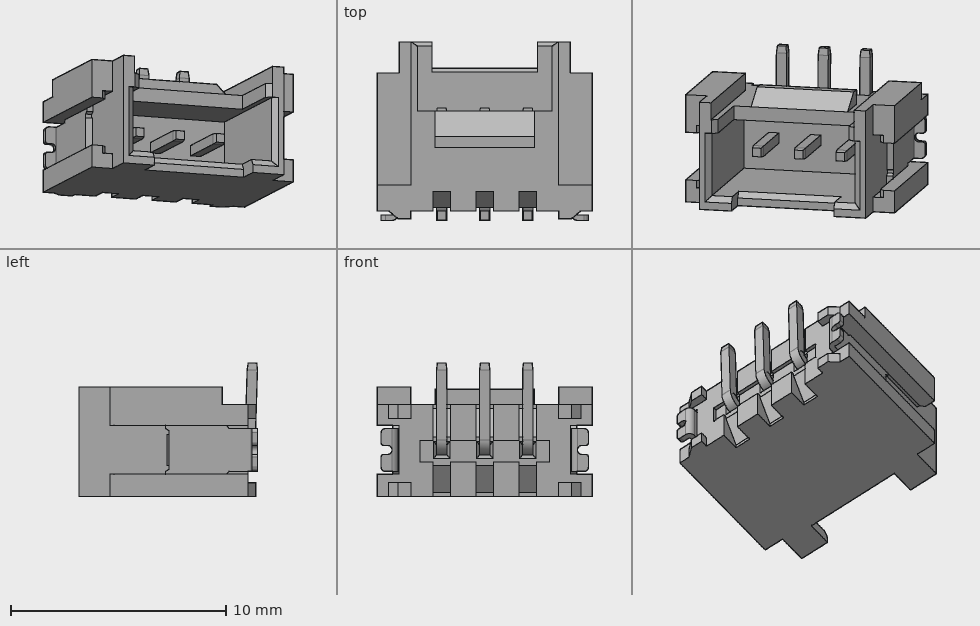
import cadquery as cq
import math


overall_width = 10.0
body_width = 7.96
body_height = 4.29
body_length = 7.86
flange_length = 6.42
upper_flange_bottom = 3.31
lower_flange_top = 1.05

rail_top = 5.10
rail_front = 1.20
rail_gap = 6.86

wall = 0.65
cavity_width = 6.86
cavity_front = 1.5
window_width = 6.27
window_front = 4.65
mouth_flare_depth = 0.19
mouth_flare = 0.28
notch_width = 4.90
notch_front = 6.64

ridge_width = 4.62
ridge_front = 2.96
ridge_crest_back = 3.46
ridge_top = 4.99

tab_inner = rail_gap / 2
tab_outer = 4.46
tab_tip_outer = 4.03
tab_reach = 0.36
tab_height = 0.65

pin_count = 3
pin_pitch = 2.0
pin_size = 0.49
pin_axis_z = 2.17
pin_tip_y = 4.79
pin_top = 6.22
pin_lean = 1.75
pin_front = -0.34
pin_bend_radius = 0.45
tip_length = 0.33
tip_size = 0.41
slot_width = 0.80
slot_depth = 0.92
slot_land = 0.20
relief_depth = 0.16
relief_width = 6.0
relief_bottom = 1.60
relief_top = 2.62
relief_margin = 0.15
funnel_size = 0.78
funnel_depth = 0.28

fitting_thickness = 0.26
fitting_gap = 0.04
fitting_wall = body_width / 2
fitting_face = fitting_wall + fitting_gap + fitting_thickness
fitting_bend_inner = 0.04
fitting_front = -0.44
fitting_bottom = 1.17
fitting_top = 3.17
fitting_back = 3.68
fitting_ear_back = 3.84
fitting_ear_slope = 0.10
fitting_shoulder_y = 0.99
fitting_shoulder_slope = 0.10
fitting_bevel = 0.09
fitting_bevel_bottom = 1.44
fitting_bevel_top = 2.89
foot_reach = 4.82
foot_outer_radius = 0.2
foot_inner_radius = 0.12
foot_notch_width = 0.41
foot_notch_end = 4.31
fitting_slot_flare = 0.19
fitting_slot_depth = 0.35


def block(x_range, y_range, z_range):
    """Axis-aligned box given by its limits along X, Y and Z."""
    size = [high - low for low, high in (x_range, y_range, z_range)]
    corner = (x_range[0], y_range[0], z_range[0])
    return cq.Workplane("XY").box(*size, centered=False).translate(corner)


def centred_block(width, y_range, z_range):
    """Box symmetric about X = 0."""
    return block((-width / 2, width / 2), y_range, z_range)


def side_profile(points, width, x_centre=0.0):
    """Prism of the given (y, z) outline, extruded symmetrically along X."""
    prism = cq.Workplane("YZ").polyline(points).close().extrude(width / 2, both=True)
    return prism.translate((x_centre, 0, 0))


def both_sides(shape):
    """The shape together with its mirror image across X = 0."""
    return shape.union(shape.mirror("YZ"))


def mouth_opening(width, bottom, top, bottom_flare):
    """Flare at the back end of an opening, widening towards +Y."""
    start = body_length - mouth_flare_depth
    sides = (
        cq.Workplane("XY")
        .polyline([
            (-width / 2, start),
            (width / 2, start),
            (width / 2 + mouth_flare, body_length),
            (-width / 2 - mouth_flare, body_length),
        ])
        .close()
        .extrude(top - bottom + bottom_flare)
        .translate((0, 0, bottom - bottom_flare))
    )
    floor = side_profile(
        [(start, bottom), (body_length, bottom - bottom_flare), (body_length, top), (start, top)],
        overall_width,
    )
    return sides.intersect(floor)


def make_shell():
    """Body with side flanges and raised rails."""
    shell = centred_block(body_width, (0, body_length), (0, body_height))
    for z_range in ((0, lower_flange_top), (upper_flange_bottom, body_height)):
        shell = shell.union(centred_block(overall_width, (0, flange_length), z_range))
    rail_z = (body_height, rail_top)
    rail = block((rail_gap / 2, overall_width / 2), (rail_front, flange_length), rail_z)
    rail_end = block((rail_gap / 2, body_width / 2), (flange_length, body_length), rail_z)
    return shell.union(both_sides(rail.union(rail_end)))


def cut_cavity(shell):
    """Hollow out the plug cavity, open the top behind the ridge and notch the floor."""
    ceiling = body_height - wall
    cavity = centred_block(cavity_width, (cavity_front, body_length), (wall, ceiling))
    cavity = cavity.union(mouth_opening(cavity_width, wall, ceiling, mouth_flare))
    window = centred_block(window_width, (window_front, body_length), (ceiling, body_height))
    window = window.union(mouth_opening(window_width, ceiling, body_height, 0))
    notch = centred_block(notch_width, (notch_front, body_length), (0, wall))
    notch_lip = side_profile(
        [(notch_front - mouth_flare_depth, wall), (notch_front, wall), (notch_front, wall - mouth_flare)],
        notch_width,
    )
    return shell.cut(cavity).cut(window).cut(notch).cut(notch_lip)


def make_ridge():
    """Locking ridge with a ramp falling towards the plug side."""
    return side_profile(
        [
            (ridge_front, body_height),
            (ridge_front, ridge_top),
            (ridge_crest_back, ridge_top),
            (window_front, body_height),
        ],
        ridge_width,
    )


def make_tabs():
    """Four locating tabs on the front face, each with a bevelled outer side."""
    tab = (
        cq.Workplane("XY")
        .polyline([
            (tab_inner, 0),
            (tab_inner, -tab_reach),
            (tab_tip_outer, -tab_reach),
            (tab_outer, 0),
        ])
        .close()
        .extrude(tab_height)
    )
    return both_sides(tab.union(tab.translate((0, 0, body_height - tab_height))))


def make_fitting_slots():
    """Slots in the flanges behind the fittings, running along the body with a flared back mouth."""
    slot = (
        cq.Workplane("XY")
        .polyline([
            (fitting_wall, fitting_ear_back),
            (fitting_face, fitting_ear_back),
            (fitting_face, flange_length - fitting_slot_flare),
            (fitting_face + fitting_slot_flare, flange_length),
            (fitting_wall, flange_length),
        ])
        .close()
        .extrude(upper_flange_bottom - lower_flange_top + 2 * fitting_slot_depth)
        .translate((0, 0, lower_flange_top - fitting_slot_depth))
    )
    return both_sides(slot)


def slot_profiles():
    """Outlines of the relief above and below a pin, sloping in from the relief floor."""
    upper = [
        (0, relief_top),
        (relief_depth, relief_top),
        (relief_depth, relief_top + relief_margin),
        (slot_depth, body_height - slot_land),
        (slot_depth, body_height),
        (0, body_height),
    ]
    lower = [
        (0, relief_bottom),
        (relief_depth, relief_bottom),
        (relief_depth, relief_bottom - relief_margin),
        (slot_depth, slot_land),
        (slot_depth, 0),
        (0, 0),
    ]
    return upper, lower


def make_funnel(x):
    """Tapered entry around a pin in the floor of the front relief."""
    return (
        cq.Workplane("XZ", origin=(x, relief_depth, pin_axis_z))
        .rect(funnel_size, funnel_size)
        .workplane(offset=-funnel_depth)
        .rect(pin_size, pin_size)
        .loft(ruled=True)
    )


def make_tip(plane):
    """Tapered square tip standing on the given plane."""
    base = plane.rect(pin_size, pin_size)
    return base.workplane(offset=tip_length).rect(tip_size, tip_size).loft(ruled=True)


def make_pin(x):
    """Pin running along Y into the cavity, bent up in front and leaning slightly forward."""
    bend_y = pin_front + pin_size / 2 + pin_bend_radius
    straight_end = pin_tip_y - tip_length
    section = cq.Workplane("XZ", origin=(0, bend_y, 0))
    blade = section.rect(pin_size, pin_size).extrude(bend_y - straight_end)
    turn = 90 + pin_lean
    bend_axis = ((1, pin_bend_radius, 0), (-1, pin_bend_radius, 0))
    bend = section.rect(pin_size, pin_size).revolve(turn, *bend_axis)

    lean = math.radians(pin_lean)
    rise_axis = cq.Vector(0, -math.sin(lean), math.cos(lean))
    rise_y = bend_y - pin_bend_radius * math.cos(lean)
    rise_z = pin_bend_radius + pin_bend_radius * math.sin(lean)
    top_offset = tip_size / 2 * math.sin(lean)
    rise = (pin_top - pin_axis_z - rise_z - top_offset) / math.cos(lean)
    post_plane = cq.Plane(origin=(0, rise_y, rise_z), xDir=(1, 0, 0), normal=rise_axis)
    post = cq.Workplane(post_plane).rect(pin_size, pin_size).extrude(rise - tip_length)
    post_tip = make_tip(cq.Workplane(post_plane).workplane(offset=rise - tip_length))
    blade_tip = make_tip(cq.Workplane("ZX", origin=(0, straight_end, 0)))

    pin = blade.union(bend).union(post).union(post_tip).union(blade_tip)
    return pin.translate((x, 0, pin_axis_z))


def make_fitting():
    """Hold-down fitting on the +X side: a plate along the groove and a notched foot bent outwards."""
    strip_inner = fitting_wall + fitting_gap
    outer_radius = fitting_thickness + fitting_bend_inner
    foot_back = fitting_front + fitting_thickness
    bend_x = fitting_face + fitting_bend_inner
    bend_y = foot_back + fitting_bend_inner
    diagonal = math.sqrt(0.5)
    strip = (
        cq.Workplane("XY")
        .moveTo(strip_inner, fitting_shoulder_y)
        .lineTo(strip_inner, bend_y)
        .threePointArc(
            (bend_x - outer_radius * diagonal, bend_y - outer_radius * diagonal),
            (bend_x, fitting_front),
        )
        .lineTo(foot_reach, fitting_front)
        .lineTo(foot_reach, foot_back)
        .lineTo(bend_x, foot_back)
        .threePointArc(
            (bend_x - fitting_bend_inner * diagonal, bend_y - fitting_bend_inner * diagonal),
            (fitting_face, bend_y),
        )
        .lineTo(fitting_face, fitting_shoulder_y)
        .close()
        .extrude(fitting_top - fitting_bottom)
        .translate((0, 0, fitting_bottom))
    )
    strip = strip.cut(make_foot_notch())
    is_foot_end = cq.selectors.BoxSelector(
        (foot_reach - fitting_bend_inner, fitting_front - fitting_thickness, 0),
        (foot_reach + fitting_bend_inner, foot_back + fitting_thickness, body_height),
    )
    foot_corners = strip.edges("|Y").edges(is_foot_end)
    strip = foot_corners.edges(">Z or <Z").fillet(foot_outer_radius)
    notch_corners = strip.edges("|Y").edges(is_foot_end)
    strip = notch_corners.fillet(foot_inner_radius)
    return strip.union(make_fitting_plate())


def make_foot_notch():
    """Round-ended notch in the middle of the foot."""
    radius = foot_notch_width / 2
    middle_z = (fitting_bottom + fitting_top) / 2
    round_x = foot_notch_end + radius
    return (
        cq.Workplane("XZ")
        .moveTo(foot_reach, middle_z - radius)
        .lineTo(round_x, middle_z - radius)
        .threePointArc((foot_notch_end, middle_z), (round_x, middle_z + radius))
        .lineTo(foot_reach, middle_z + radius)
        .close()
        .extrude(fitting_thickness, both=True)
        .translate((0, fitting_front, 0))
    )


def make_fitting_plate():
    """Wide, groove-high part of the fitting seated on the groove wall, with ears at its back."""
    plate = (
        cq.Workplane("YZ")
        .polyline([
            (fitting_shoulder_y - fitting_shoulder_slope, fitting_bottom),
            (fitting_shoulder_y, lower_flange_top),
            (fitting_ear_back, lower_flange_top),
            (fitting_ear_back, fitting_bottom),
            (fitting_back, fitting_bottom + fitting_ear_slope),
            (fitting_back, fitting_top - fitting_ear_slope),
            (fitting_ear_back, fitting_top),
            (fitting_ear_back, upper_flange_bottom),
            (fitting_shoulder_y, upper_flange_bottom),
            (fitting_shoulder_y - fitting_shoulder_slope, fitting_top),
        ])
        .close()
        .extrude(fitting_face - fitting_wall)
        .translate((fitting_wall, 0, 0))
    )
    bevel = (
        cq.Workplane("XY")
        .polyline([
            (fitting_wall, fitting_back),
            (fitting_face, fitting_back),
            (fitting_wall, fitting_back + fitting_bevel),
        ])
        .close()
        .extrude(fitting_bevel_top - fitting_bevel_bottom)
        .translate((0, 0, fitting_bevel_bottom))
    )
    return plate.union(bevel)


pin_positions = [(i - (pin_count - 1) / 2) * pin_pitch for i in range(pin_count)]

housing = cut_cavity(make_shell()).union(make_ridge()).union(make_tabs()).cut(make_fitting_slots())
housing = housing.cut(centred_block(relief_width, (0, relief_depth), (relief_bottom, relief_top)))
for pin_x in pin_positions:
    for outline in slot_profiles():
        housing = housing.cut(side_profile(outline, slot_width, pin_x))
    housing = housing.cut(make_funnel(pin_x))

result = housing.union(both_sides(make_fitting()))
for pin_x in pin_positions:
    result = result.union(make_pin(pin_x))